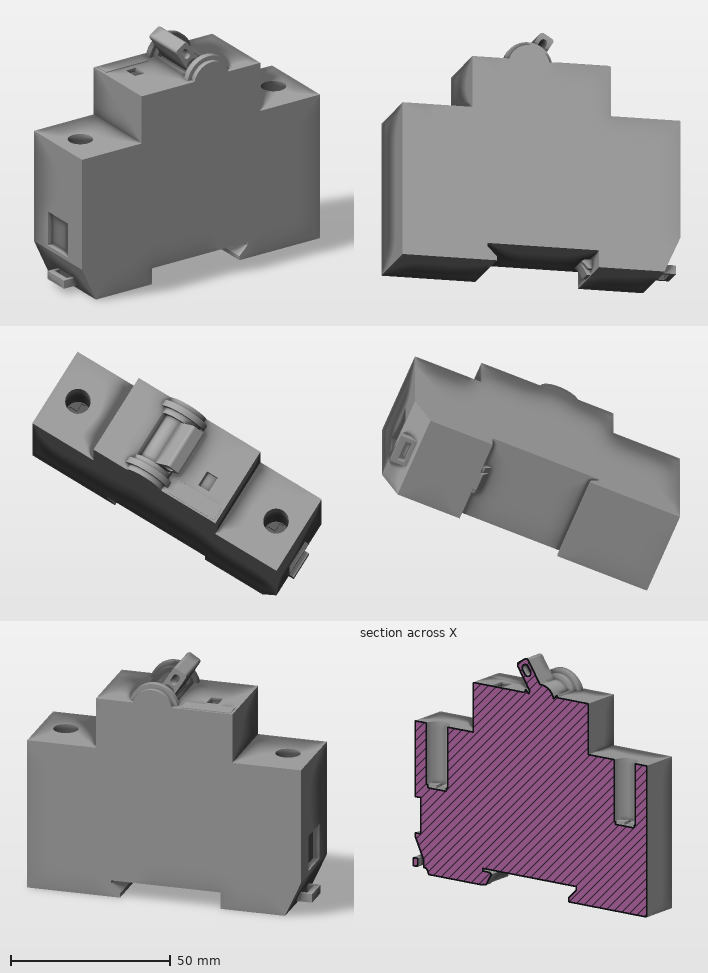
import cadquery as cq
import math

width = 27.0
body_length = 90.0
total_length = 90.8
total_height = 76.5

front_y = -body_length / 2
rear_y = body_length / 2
tower_y = 22.4
shoulder_z = 49.3
front_deck_z = 65.5
rear_deck_z = 65.8
chamfer_length = 5.3
chamfer_height = 11.5

rail_depth = 5.45
rail_front_y = -18.6
rail_rear_y = 17.5
hook_run = 3.0
hook_top_z = 4.4

screw_y = 36.5
screw_diameter = 8.0
well_depth = 20.0
cross_length = 7.2
cross_width = 1.5
cross_depth = 1.0

drum_y = 4.0
drum_z = 64.0
drum_radius = 6.6
flange_radius = 8.0
flange_thickness = 2.0
flange_x = 10.7

window_width = 15.6
window_half_length = 6.1
window_wall_run = 1.3
window_wall_drop = 1.45
rotor_radius = 5.0

lever_width = 15.1
lever_thickness = 5.0
lever_tilt = 32.5
lever_offset = 0.2
lever_edge_radius = 1.0
lever_hole_length = 3.8
lever_hole_width = 2.4
lever_hole_inset = 1.5

recess_width = 11.3
recess_height = 11.6
recess_depth = 2.0
recess_bottom_z = 12.9

clip_width = 9.1
clip_bottom_z = 1.9
clip_top_z = 4.7
clip_tip_y = front_y - (total_length - body_length)
nose_y = -15.25
nose_z = 4.2
nose_top_y = -16.25
nose_foot_y = -17.4
clip_hook_width = 5.45
clip_hook_bottom_z = 0.3
eye_width = 6.7
eye_length = 2.2
eye_wall = 1.9
eye_corner_radius = 0.5

plate_width = 5.2
plate_length = 16.3
plate_thickness = 0.3
plate_x = -10.35
status_width = 5.2
status_length = 3.9
status_depth = 1.4
status_slope = 0.5
status_crown = 0.14
status_x = -3.3
deck_detail_y = -13.4


def box(size_x, size_y, size_z, x, y, z_bottom):
    """Box centred on x and y, standing on z_bottom."""
    block = cq.Workplane("XY").box(size_x, size_y, size_z, centered=(True, True, False))
    return block.translate((x, y, z_bottom))


def across(outline, length, x=0):
    """Extrude a closed YZ outline along X, centred on x."""
    return outline.extrude(length / 2, both=True).translate((x, 0, 0))


def prism(points, length):
    """Straight-sided YZ outline extruded along X, centred on X = 0."""
    return across(cq.Workplane("YZ").polyline(points).close(), length)


def drum_cylinder(radius, length, x=0):
    """Cylinder on the drum axis, centred on x."""
    return across(cq.Workplane("YZ").center(drum_y, drum_z).circle(radius), length, x)


def make_housing():
    """Stepped body with rail channel; the small step between its decks lies under the drum."""
    hook_y = rail_rear_y - hook_run
    return prism([
        (front_y + chamfer_length, 0),
        (rail_front_y, 0),
        (rail_front_y, rail_depth),
        (rail_rear_y, rail_depth),
        (rail_rear_y, hook_top_z),
        (hook_y, hook_top_z - hook_run),
        (hook_y, 0),
        (rear_y, 0),
        (rear_y, shoulder_z),
        (tower_y, shoulder_z),
        (tower_y, rear_deck_z),
        (drum_y, rear_deck_z),
        (drum_y, front_deck_z),
        (-tower_y, front_deck_z),
        (-tower_y, shoulder_z),
        (front_y, shoulder_z),
        (front_y, chamfer_height),
    ], width)


def make_window():
    """Opening from the drum surface down to the rotor, with front and rear walls sloping inward."""
    top_z = drum_z + drum_radius
    rim_z = drum_z + math.sqrt(drum_radius ** 2 - window_half_length ** 2)
    foot_z = rim_z - window_wall_drop
    foot_half_length = window_half_length - window_wall_run
    return prism([
        (drum_y - window_half_length, top_z),
        (drum_y - window_half_length, rim_z),
        (drum_y - foot_half_length, foot_z),
        (drum_y + foot_half_length, foot_z),
        (drum_y + window_half_length, rim_z),
        (drum_y + window_half_length, top_z),
    ], window_width)


def make_screw_well(y):
    """Round well with the cross slot of the screw head in its floor."""
    floor_z = shoulder_z - well_depth
    cross_z = floor_z - cross_depth
    well = cq.Workplane("XY").circle(screw_diameter / 2).extrude(well_depth).translate((0, y, floor_z))
    well = well.union(box(cross_length, cross_width, cross_depth, 0, y, cross_z))
    return well.union(box(cross_width, cross_length, cross_depth, 0, y, cross_z))


def make_status_pocket():
    """Pocket with a sloped rear wall and a slightly crowned floor."""
    near_y = deck_detail_y - status_length / 2
    far_y = deck_detail_y + status_length / 2
    foot_y = far_y - status_slope
    floor_z = front_deck_z - status_depth
    outline = (
        cq.Workplane("YZ")
        .moveTo(near_y, front_deck_z)
        .lineTo(near_y, floor_z)
        .threePointArc(((near_y + foot_y) / 2, floor_z + status_crown), (foot_y, floor_z))
        .lineTo(far_y, front_deck_z)
        .close()
    )
    return across(outline, status_width, status_x)


def make_lever():
    """Lever with rounded outer edges, long enough for its top edge to reach total_height."""
    tilt = math.radians(lever_tilt)
    round_y = lever_thickness / 2 - lever_edge_radius - lever_offset
    round_rise = total_height - drum_z - lever_edge_radius - round_y * math.sin(tilt)
    length = round_rise / math.cos(tilt) + lever_edge_radius
    hole_z = length - lever_hole_inset - lever_hole_length / 2

    lever = box(lever_width, lever_thickness, length, 0, 0, 0)
    lever = lever.edges("|X and >Z").fillet(lever_edge_radius)
    hole = cq.Workplane("YZ").center(0, hole_z).slot2D(lever_hole_length, lever_hole_width, 90)
    lever = lever.cut(across(hole, lever_width))
    lever = lever.translate((0, -lever_offset, 0))
    return lever.rotate((0, 0, 0), (1, 0, 0), lever_tilt).translate((0, drum_y, drum_z))


def make_clip():
    """Rail clip reaching from the channel through the front foot, and the eye to cut from it."""
    bar = prism([
        (clip_tip_y, clip_bottom_z),
        (clip_tip_y, clip_top_z),
        (nose_top_y, clip_top_z),
        (nose_y, nose_z),
        (nose_foot_y, clip_bottom_z),
    ], clip_width)
    hook = prism([
        (rail_front_y, clip_hook_bottom_z),
        (rail_front_y, nose_z),
        (nose_y, nose_z),
        (nose_foot_y, clip_hook_bottom_z),
    ], clip_hook_width)
    eye_y = clip_tip_y + eye_wall + eye_length / 2
    eye = box(eye_width, eye_length, clip_top_z - clip_bottom_z, 0, eye_y, clip_bottom_z)
    return bar.union(hook), eye.edges("|Z and >Y").fillet(eye_corner_radius)


result = make_housing().union(drum_cylinder(drum_radius, width))
for side in (-1, 1):
    result = result.union(drum_cylinder(flange_radius, flange_thickness, side * flange_x))

result = result.cut(make_window())
result = result.union(drum_cylinder(rotor_radius, window_width)).union(make_lever())

for side in (-1, 1):
    result = result.cut(make_screw_well(side * screw_y))

result = result.cut(box(recess_width, 2 * recess_depth, recess_height, 0, front_y, recess_bottom_z))

result = result.union(box(plate_width, plate_length, plate_thickness, plate_x, deck_detail_y, front_deck_z))
result = result.cut(make_status_pocket())

clip, clip_eye = make_clip()
result = result.union(clip).cut(clip_eye)